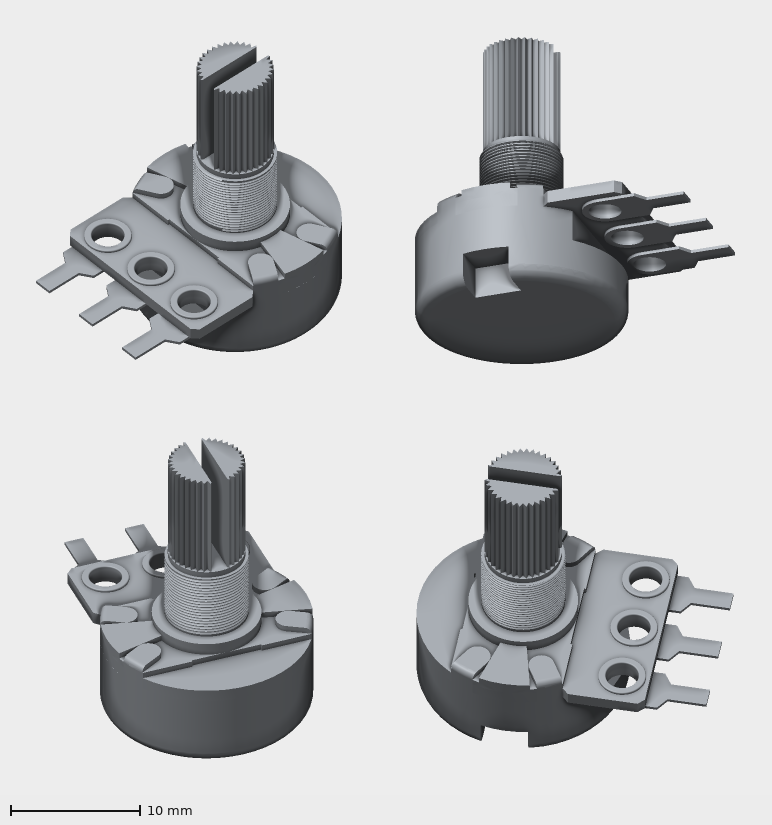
import cadquery as cq
import math

BODY_RADIUS = 8.25
CUTTER_RADIUS = 10.0

CAN_TOP_Z = 6.0
BOARD_TOP_Z = 7.0
PLATE_TOP_Z = 7.5
WEDGE_TOP_Z = 8.0
FLANGE_TOP_Z = 8.5
BUSHING_TOP_Z = 14.0
COLLAR_TOP_Z = 14.5
SHAFT_TOP_Z = 23.0

CAN_BOTTOM_FILLET = 1.0
FRONT_FLAT_Y = -6.2
FRONT_FLAT_BOTTOM_Z = 3.5
SIDE_SLOT_WIDTH = 3.75
SIDE_SLOT_HEIGHT = 2.5
SIDE_SLOT_DEPTH = 3.0

TAB_THICKNESS = WEDGE_TOP_Z - PLATE_TOP_Z
TAB_FILLET = TAB_THICKNESS
TAB_WIDTH = 2.0
TAB_ANGLE = 30.0
TAB_STRIP_LENGTH = 4.0
TAB_END_X = 5.81
TAB_END_Y = 2.51

BOARD_WIDTH = 15.0
BOARD_FRONT_Y = -10.85
BOARD_CHAMFER = 0.5

TERMINAL_PITCH = 5.0
TERMINAL_THICKNESS = 0.25
TERMINAL_HEAD_RADIUS = 1.77
TERMINAL_PIN_WIDTH = 1.55
TERMINAL_SHOULDER_Y = -11.75
TERMINAL_NECK_Y = -12.4
TERMINAL_TIP_Y = -15.45
EYELET_Y = -8.7
EYELET_RADIUS = 1.85
EYELET_BORE_RADIUS = 1.27
EYELET_HEIGHT = 0.2
EYELET_FILLET = 0.1

PLATE_HALF_WIDTH = 4.39
WAIST_LENGTH = 5.76
WEDGE_HALF_ANGLE = 14.0

FLANGE_RADIUS = 4.24
THREAD_RADIUS = 3.25
THREAD_ROOT_RADIUS = 3.05
THREAD_PITCH = 0.2625
THREAD_TURNS = 20
THREAD_START_Z = 8.7
THREAD_START_ANGLE = -60.0
GROOVE_MOUTH = 0.24
GROOVE_OVERCUT = 0.05

SHAFT_RADIUS = 3.0
KNURL_ROOT_RADIUS = 2.6
KNURL_COUNT = 36
SLOT_WIDTH = 1.3


def disc(radius, bottom, top):
    return cq.Workplane("XY").workplane(offset=bottom).circle(radius).extrude(top - bottom)


def block(x_min, x_max, y_min, y_max, z_min, z_max):
    size = (x_max - x_min, y_max - y_min, z_max - z_min)
    return cq.Workplane("XY").box(*size, centered=False).translate((x_min, y_min, z_min))


def on_four_corners(shape):
    """The shape together with its mirror images in X and in Y."""
    pair = shape.union(shape.mirror("YZ"))
    return pair.union(pair.mirror("XZ"))


def tab_strip(bottom, top):
    """Round-ended strip of the tab in the +X +Y corner, running out past the can wall."""
    strip = (
        cq.Workplane("XY")
        .moveTo(0, -TAB_WIDTH / 2)
        .lineTo(TAB_STRIP_LENGTH, -TAB_WIDTH / 2)
        .lineTo(TAB_STRIP_LENGTH, TAB_WIDTH / 2)
        .lineTo(0, TAB_WIDTH / 2)
        .threePointArc((-TAB_WIDTH / 2, 0), (0, -TAB_WIDTH / 2))
        .close()
        .extrude(top - bottom)
    )
    return strip.rotate((0, 0, 0), (0, 0, 1), TAB_ANGLE).translate((TAB_END_X, TAB_END_Y, bottom))


def tab_wall(bottom, top):
    """Upright part of a tab, which follows the can wall."""
    ring = disc(CUTTER_RADIUS, bottom, top).cut(disc(BODY_RADIUS - TAB_THICKNESS, bottom, top))
    return ring.intersect(tab_strip(bottom, top))


def make_can():
    """Round can with a front notch, a slot in the -X wall and four tabs folded over the plate."""
    envelope = disc(BODY_RADIUS, 0, WEDGE_TOP_Z)
    envelope = envelope.faces("<Z").edges().fillet(CAN_BOTTOM_FILLET)
    envelope = envelope.faces(">Z").edges().fillet(TAB_FILLET)
    fold = tab_strip(PLATE_TOP_Z, WEDGE_TOP_Z)
    tab = tab_wall(CAN_TOP_Z, WEDGE_TOP_Z).union(fold)
    keep = disc(CUTTER_RADIUS, 0, CAN_TOP_Z).union(on_four_corners(tab))
    can = envelope.intersect(keep)
    front_notch = block(-BODY_RADIUS, BODY_RADIUS, -BODY_RADIUS, FRONT_FLAT_Y, FRONT_FLAT_BOTTOM_Z, CAN_TOP_Z)
    slot_half = SIDE_SLOT_WIDTH / 2
    side_slot = block(-BODY_RADIUS, SIDE_SLOT_DEPTH - BODY_RADIUS, -slot_half, slot_half, 0, SIDE_SLOT_HEIGHT)
    return can.cut(front_notch).cut(side_slot)


def make_plate():
    """Cover strip under the tabs, waisted beside the flange, with a raised wedge at each end."""
    strip = disc(BODY_RADIUS, BOARD_TOP_Z, PLATE_TOP_Z).intersect(
        block(-BODY_RADIUS, BODY_RADIUS, -PLATE_HALF_WIDTH, PLATE_HALF_WIDTH, BOARD_TOP_Z, PLATE_TOP_Z)
    )
    rise = BODY_RADIUS * math.tan(math.radians(WEDGE_HALF_ANGLE))
    wedge_sides = (
        cq.Workplane("XY").workplane(offset=BOARD_TOP_Z)
        .polyline([(0, 0), (BODY_RADIUS, -rise), (BODY_RADIUS, rise)]).close()
        .extrude(WEDGE_TOP_Z - BOARD_TOP_Z)
    )
    wedge = disc(BODY_RADIUS, BOARD_TOP_Z, WEDGE_TOP_Z).intersect(wedge_sides)
    plate = strip.union(wedge).union(wedge.mirror("YZ"))
    plate = plate.cut(disc(FLANGE_RADIUS, PLATE_TOP_Z, WEDGE_TOP_Z))
    half_waist = WAIST_LENGTH / 2
    relief = block(-half_waist, half_waist, FLANGE_RADIUS, PLATE_HALF_WIDTH, BOARD_TOP_Z, PLATE_TOP_Z)
    plate = plate.cut(relief).cut(relief.mirror("XZ"))
    return plate.cut(on_four_corners(tab_wall(BOARD_TOP_Z, PLATE_TOP_Z)))


def make_terminal(x):
    """Solder tag under the board with its eyelet ring on top, and the bore through both."""
    under = CAN_TOP_Z - TERMINAL_THICKNESS
    head = TERMINAL_HEAD_RADIUS
    pin = TERMINAL_PIN_WIDTH / 2
    tag = (
        cq.Workplane("XY").workplane(offset=under)
        .moveTo(head, EYELET_Y)
        .lineTo(head, TERMINAL_SHOULDER_Y)
        .lineTo(pin, TERMINAL_NECK_Y)
        .lineTo(pin, TERMINAL_TIP_Y)
        .lineTo(-pin, TERMINAL_TIP_Y)
        .lineTo(-pin, TERMINAL_NECK_Y)
        .lineTo(-head, TERMINAL_SHOULDER_Y)
        .lineTo(-head, EYELET_Y)
        .threePointArc((0, EYELET_Y + head), (head, EYELET_Y))
        .close()
        .extrude(TERMINAL_THICKNESS)
    )
    top = BOARD_TOP_Z + EYELET_HEIGHT
    eyelet = disc(EYELET_RADIUS, BOARD_TOP_Z, top).translate((0, EYELET_Y, 0))
    bore = disc(EYELET_BORE_RADIUS, under, top).translate((0, EYELET_Y, 0))
    ring = eyelet.cut(bore).faces(">Z").edges().fillet(EYELET_FILLET)
    return tag.union(ring).cut(bore).translate((x, 0, 0)), bore.translate((x, 0, 0))


def make_board():
    """Circuit board with a rectangular apron that carries the three terminals."""
    half = BOARD_WIDTH / 2
    board = disc(BODY_RADIUS, CAN_TOP_Z, BOARD_TOP_Z).cut(
        block(-BODY_RADIUS, BODY_RADIUS, -BODY_RADIUS, -PLATE_HALF_WIDTH, CAN_TOP_Z, BOARD_TOP_Z)
    )
    apron = block(-half, half, BOARD_FRONT_Y, -PLATE_HALF_WIDTH, CAN_TOP_Z, BOARD_TOP_Z)
    board = board.union(apron.edges("|Z").chamfer(BOARD_CHAMFER))
    board = board.cut(on_four_corners(tab_wall(CAN_TOP_Z, BOARD_TOP_Z)))
    for x in (-TERMINAL_PITCH, 0, TERMINAL_PITCH):
        metal, bore = make_terminal(x)
        board = board.cut(bore).union(metal)
    return board


def thread_groove():
    """V-shaped helical groove, opening slightly past the thread crest for a clean cut."""
    helix = cq.Wire.makeHelix(THREAD_PITCH, THREAD_TURNS * THREAD_PITCH, THREAD_RADIUS)
    mouth_radius = THREAD_RADIUS + GROOVE_OVERCUT
    groove = (
        cq.Workplane("XZ")
        .moveTo(THREAD_ROOT_RADIUS, 0)
        .lineTo(mouth_radius, GROOVE_MOUTH / 2)
        .lineTo(mouth_radius, -GROOVE_MOUTH / 2)
        .close()
        .sweep(cq.Workplane(obj=helix), isFrenet=True)
    )
    return groove.rotate((0, 0, 0), (0, 0, 1), THREAD_START_ANGLE).translate((0, 0, THREAD_START_Z))


def make_bushing():
    """Flanged tube that rests on the plate, threaded outside and bored for the shaft."""
    bore = disc(SHAFT_RADIUS, PLATE_TOP_Z, BUSHING_TOP_Z)
    tube = disc(THREAD_RADIUS, FLANGE_TOP_Z, BUSHING_TOP_Z).cut(bore)
    flange = disc(FLANGE_RADIUS, PLATE_TOP_Z, FLANGE_TOP_Z).cut(bore)
    return tube.cut(thread_groove()).union(flange)


def make_shaft():
    """Round shaft with a collar above the bushing and a knurled, slotted tip."""
    points = []
    for tooth in range(KNURL_COUNT):
        valley = 2 * math.pi * tooth / KNURL_COUNT
        tip = valley + math.pi / KNURL_COUNT
        points.append((KNURL_ROOT_RADIUS * math.cos(valley), KNURL_ROOT_RADIUS * math.sin(valley)))
        points.append((SHAFT_RADIUS * math.cos(tip), SHAFT_RADIUS * math.sin(tip)))
    knurl = (
        cq.Workplane("XY").workplane(offset=COLLAR_TOP_Z)
        .polyline(points).close().extrude(SHAFT_TOP_Z - COLLAR_TOP_Z)
    )
    slot = block(-SLOT_WIDTH / 2, SLOT_WIDTH / 2, -SHAFT_RADIUS, SHAFT_RADIUS, COLLAR_TOP_Z, SHAFT_TOP_Z)
    return disc(SHAFT_RADIUS, PLATE_TOP_Z, COLLAR_TOP_Z).union(knurl.cut(slot))


can = make_can()
board = make_board()
plate = make_plate()
bushing = make_bushing()
shaft = make_shaft()
bodies = [can, board, plate, bushing, shaft]
result = cq.Compound.makeCompound([body.solids().val() for body in bodies])